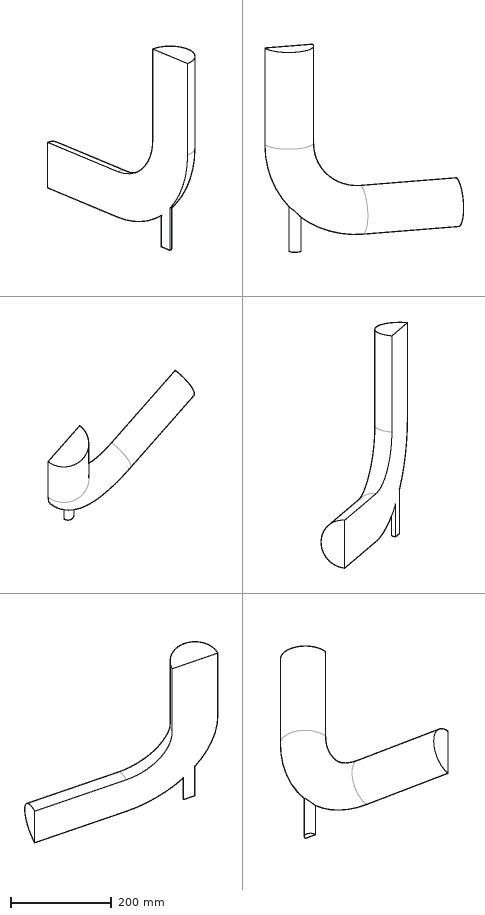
import cadquery as cq
import math

overall_height = 425.0
pipe_diameter = 100.0
straight_length = 200.0
bend_radius = 150.0
stub_diameter = 25.0
stub_offset = 137.3

pipe_radius = pipe_diameter / 2
stub_radius = stub_diameter / 2
stub_bottom = straight_length - overall_height
stub_top = -math.sqrt(bend_radius**2 - stub_offset**2)


def make_pipe():
    """Sweep the full round section along the inlet, quarter bend and outlet."""
    bend_middle = bend_radius * math.sqrt(0.5)
    centreline = (
        cq.Workplane("XZ")
        .moveTo(-straight_length, -bend_radius)
        .lineTo(0, -bend_radius)
        .threePointArc((bend_middle, -bend_middle), (bend_radius, 0))
        .lineTo(bend_radius, straight_length)
    )
    section = cq.Workplane("YZ", origin=(-straight_length, 0, -bend_radius))
    return section.circle(pipe_radius).sweep(centreline)


def make_stub():
    """Vertical round stub hanging below the outside of the bend."""
    base = cq.Workplane("XY", origin=(stub_offset, 0, stub_bottom))
    return base.circle(stub_radius).extrude(stub_top - stub_bottom)


def make_keep_block():
    """Block that covers everything behind the flat mid-plane."""
    size = 3 * overall_height
    return cq.Workplane("XY").box(size, size, size, centered=(True, False, True))


result = make_pipe().union(make_stub()).intersect(make_keep_block())